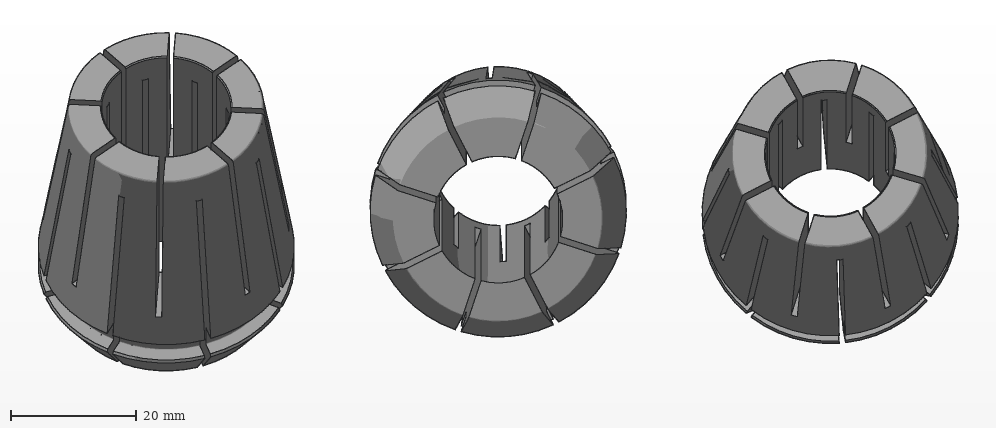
import cadquery as cq
import math

length = 46.0
max_radius = 20.5
bore_radius = 10.32

taper_start_z = 11.15
taper_half_angle = 8.0
top_radius = max_radius - (length - taper_start_z) * math.tan(math.radians(taper_half_angle))
outer_edge_fillet = 0.5
bore_edge_chamfer = 0.2

groove_start_z = 7.0
groove_radius = 18.1
groove_corner_fillet = 0.2

nose_half_angle = 30.0
bevel_height = 0.45
bevel_width = bevel_height * math.tan(math.radians(nose_half_angle))
rim_z = groove_start_z - bevel_height
nose_radius = max_radius - rim_z * math.tan(math.radians(nose_half_angle))
nose_edge_fillet = 0.3

slots_per_end = 8
slot_width = 1.0
slot_pitch_angle = 360.0 / slots_per_end
lower_slot_end_z = 41.0
upper_slot_end_z = 17.0

match_tolerance = 0.001


def circle_at(body, radius, z):
    """Pick the circular edge of a given radius at a given height."""
    return body.edges("%CIRCLE").filter(
        lambda edge: math.isclose(edge.radius(), radius, abs_tol=match_tolerance)
        and math.isclose(edge.Center().z, z, abs_tol=match_tolerance)
    )


def make_body():
    """Revolve the collet profile around Z, then break its circular edges."""
    profile = [
        (bore_radius, 0),
        (nose_radius, 0),
        (max_radius, rim_z),
        (max_radius - bevel_width, groove_start_z),
        (groove_radius, groove_start_z),
        (groove_radius, taper_start_z),
        (max_radius, taper_start_z),
        (top_radius, length),
        (bore_radius, length),
    ]
    body = cq.Workplane("XZ").polyline(profile).close().revolve(360, (0, 0, 0), (0, 1, 0))
    body = circle_at(body, top_radius, length).fillet(outer_edge_fillet)
    for corner_z in (groove_start_z, taper_start_z):
        body = circle_at(body, groove_radius, corner_z).fillet(groove_corner_fillet)
    body = circle_at(body, nose_radius, 0).fillet(nose_edge_fillet)
    return circle_at(body, bore_radius, length).chamfer(bore_edge_chamfer)


def make_slots(start_z, end_z, first_angle):
    """Ring of radial slot cutters, each running from the axis out past the body."""
    reach = 2 * max_radius
    cutter = cq.Workplane("XY", origin=(0, 0, start_z)).box(
        reach, slot_width, end_z - start_z, centered=(False, True, False)
    )
    cutters = cq.Workplane("XY")
    for index in range(slots_per_end):
        angle = first_angle + index * slot_pitch_angle
        cutters = cutters.add(cutter.rotate((0, 0, 0), (0, 0, 1), angle))
    return cutters.combine()


lower_slots = make_slots(0, lower_slot_end_z, 0)
upper_slots = make_slots(upper_slot_end_z, length, slot_pitch_angle / 2)

result = make_body().cut(lower_slots).cut(upper_slots)